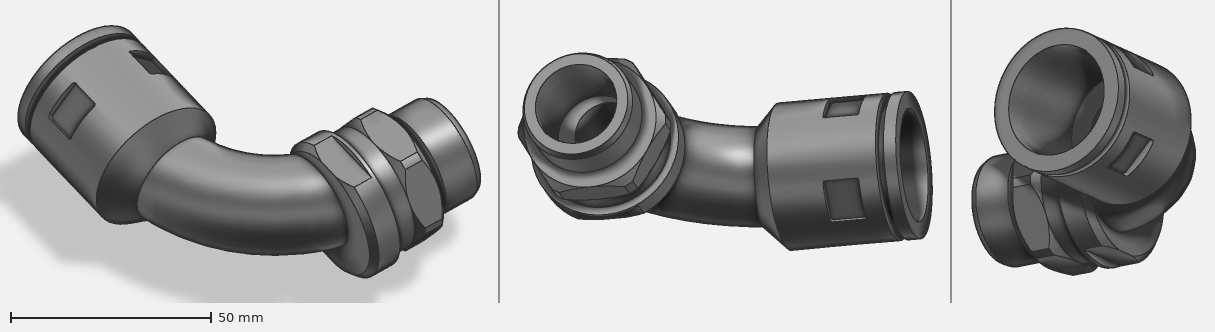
import cadquery as cq
import math

TOTAL_LENGTH = 90.0
TOTAL_HEIGHT = 81.5

SLEEVE_DIA = 37.0
GROOVE_DIA = 31.0
GROOVE_START = 3.15
GROOVE_END = 5.2
CONE_START = 33.2
CONE_LENGTH = 7.3
SOCKET_DIA = 28.5

WINDOW_START = 10.1
WINDOW_LENGTH = 9.3
WINDOW_WIDTH = 11.3
WINDOW_FLOOR = 16.4
WINDOW_CORNER = 0.6

BEND_START = 28.7
BEND_RADIUS = 40.0
PIPE_DIA = 25.0
PIPE_BORE = 17.0

NUT_DIA = 38.0
ACROSS_FLATS = 34.0
THREAD_DIA = 28.3
NECK_DIA = 23.0
THREAD_BORE = 21.0
THREAD_CHAMFER_LENGTH = 1.7
THREAD_CHAMFER_DEPTH = 0.8
THREAD_LENGTH = 9.5
RUNOUT_LENGTH = 1.35
NECK_LENGTH = 1.5
HEX_LENGTH = 9.0
COLLAR_LENGTH = 5.9
FLANGE_LENGTH = 8.2
FLANGE_RIM = 1.1
FLANGE_CHAMFER = 1.7
HEX_CHAMFER = 1.9

sleeve_radius = SLEEVE_DIA / 2
nut_radius = NUT_DIA / 2
thread_radius = THREAD_DIA / 2
neck_radius = NECK_DIA / 2
collar_radius = ACROSS_FLATS / 2
nut_axis_x = TOTAL_LENGTH - nut_radius

thread_end = TOTAL_HEIGHT - sleeve_radius
thread_top = thread_end - THREAD_CHAMFER_LENGTH
thread_bottom = thread_top - THREAD_LENGTH
neck_top = thread_bottom - RUNOUT_LENGTH
hex_top = neck_top - NECK_LENGTH
hex_bottom = hex_top - HEX_LENGTH
flange_top = hex_bottom - COLLAR_LENGTH
flange_bottom = flange_top - FLANGE_LENGTH


def y_disc(diameter, start, end):
    """Cylinder about the nut axis between two Y stations."""
    plane = cq.Plane(origin=(nut_axis_x, start, 0), xDir=(1, 0, 0), normal=(0, 1, 0))
    return cq.Workplane(plane).circle(diameter / 2).extrude(end - start)


def revolve_about_nut_axis(points):
    """Revolve a closed (radius, y) outline about the nut axis."""
    outline = cq.Workplane("XY", origin=(nut_axis_x, 0, 0)).polyline(points).close()
    return outline.revolve(360, (0, 0, 0), (0, 1, 0))


def bend(diameter):
    """Quarter torus starting on the X axis and turning toward +Y."""
    section = cq.Workplane("YZ", origin=(BEND_START, 0, 0)).circle(diameter / 2)
    return section.revolve(90, (BEND_RADIUS, 0, 0), (BEND_RADIUS, 1, 0))


def make_sleeve():
    """Grooved sleeve closing with a 45 degree cone onto the pipe."""
    groove_radius = GROOVE_DIA / 2
    outline = [
        (0, 0),
        (0, sleeve_radius),
        (GROOVE_START, sleeve_radius),
        (GROOVE_START, groove_radius),
        (GROOVE_END, groove_radius),
        (GROOVE_END, sleeve_radius),
        (CONE_START, sleeve_radius),
        (CONE_START + CONE_LENGTH, sleeve_radius - CONE_LENGTH),
        (CONE_START + CONE_LENGTH, 0),
    ]
    sleeve = cq.Workplane("XY").polyline(outline).close().revolve(360, (0, 0, 0), (1, 0, 0))
    window = (
        cq.Workplane("XY", origin=(WINDOW_START + WINDOW_LENGTH / 2, 0, WINDOW_FLOOR))
        .rect(WINDOW_LENGTH, WINDOW_WIDTH)
        .extrude(sleeve_radius - WINDOW_FLOOR)
        .edges("|Z")
        .fillet(WINDOW_CORNER)
    )
    for angle in (45, 135, 225, 315):
        sleeve = sleeve.cut(window.rotate((0, 0, 0), (1, 0, 0), angle))
    return sleeve


def make_thread():
    """Plain thread cylinder with end chamfer, run-out and neck."""
    return revolve_about_nut_axis([
        (0, thread_end),
        (thread_radius - THREAD_CHAMFER_DEPTH, thread_end),
        (thread_radius, thread_top),
        (thread_radius, thread_bottom),
        (neck_radius, neck_top),
        (neck_radius, hex_top),
        (0, hex_top),
    ])


def make_hex():
    """Hexagon with flats facing Z, trimmed by a doubly chamfered disc."""
    plane = cq.Plane(origin=(nut_axis_x, hex_bottom, 0), xDir=(1, 0, 0), normal=(0, 1, 0))
    across_corners = ACROSS_FLATS / math.cos(math.pi / 6)
    hexagon = cq.Workplane(plane).polygon(6, across_corners).extrude(HEX_LENGTH)
    trim = revolve_about_nut_axis([
        (0, hex_bottom),
        (collar_radius, hex_bottom),
        (nut_radius, hex_bottom + HEX_CHAMFER),
        (nut_radius, hex_top - HEX_CHAMFER),
        (collar_radius, hex_top),
        (0, hex_top),
    ])
    return hexagon.intersect(trim)


def make_flange():
    """Chamfered flange with two wrench flats stopping short of its rim."""
    flange = y_disc(NUT_DIA, flange_bottom, flange_top).faces("<Y").chamfer(FLANGE_CHAMFER)
    flat_length = FLANGE_LENGTH - FLANGE_RIM
    flat_depth = nut_radius - collar_radius
    for side in (-1, 1):
        cutter = cq.Workplane("XY").box(NUT_DIA, flat_length, flat_depth).translate(
            (nut_axis_x, flange_bottom + flat_length / 2, side * (collar_radius + flat_depth / 2))
        )
        flange = flange.cut(cutter)
    return flange


body = make_sleeve().union(bend(PIPE_DIA)).union(make_flange())
body = body.union(y_disc(ACROSS_FLATS, flange_top, hex_bottom))
body = body.union(make_hex()).union(make_thread())

socket = cq.Workplane("YZ").circle(SOCKET_DIA / 2).extrude(BEND_START)
thread_bore = y_disc(THREAD_BORE, BEND_RADIUS, thread_end)
result = body.cut(socket).cut(bend(PIPE_BORE)).cut(thread_bore)